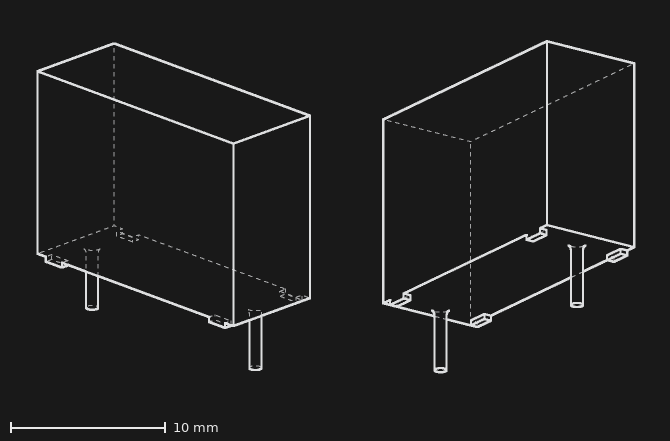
import cadquery as cq

BODY_LENGTH = 18.0
BODY_WIDTH = 7.0
TOTAL_HEIGHT = 17.0
PIN_LENGTH = 4.3
BODY_HEIGHT = TOTAL_HEIGHT - PIN_LENGTH

PIN_DIAMETER = 0.8
PIN_PITCH = 15.0
FLARE_RADIUS = 0.5

FOOT_LENGTH = 1.5
FOOT_WIDTH = 0.54
FOOT_HEIGHT = 0.35


def make_body():
    return cq.Workplane("XY").box(BODY_LENGTH, BODY_WIDTH, BODY_HEIGHT, centered=(True, True, False))


def make_pin(x):
    """Lead with its flared root, revolved about its own vertical axis."""
    pin_radius = PIN_DIAMETER / 2
    return (
        cq.Workplane("XZ", origin=(x, 0, 0))
        .lineTo(pin_radius + FLARE_RADIUS, 0)
        .radiusArc((pin_radius, -FLARE_RADIUS), -FLARE_RADIUS)
        .lineTo(pin_radius, -PIN_LENGTH)
        .lineTo(0, -PIN_LENGTH)
        .close()
        .revolve(360, (0, 0, 0), (0, 1, 0))
    )


def make_foot(x, side):
    """Foot below the body, flush with the long face on the given side (-1 or +1)."""
    y = side * (BODY_WIDTH - FOOT_WIDTH) / 2
    return (
        cq.Workplane("XY")
        .center(x, y)
        .rect(FOOT_LENGTH, FOOT_WIDTH)
        .extrude(-FOOT_HEIGHT)
    )


result = make_body()
for end in (-1, 1):
    pin_x = end * PIN_PITCH / 2
    result = result.union(make_pin(pin_x))
    for side in (-1, 1):
        result = result.union(make_foot(pin_x, side))